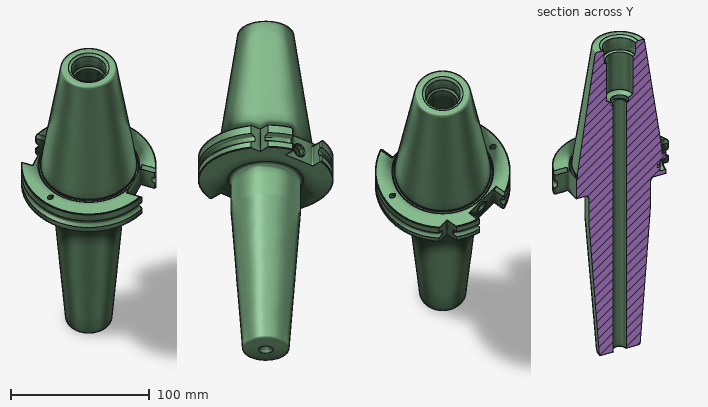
import cadquery as cq
import math

total_length = 261.5
flange_top = 159.0
flange_bottom = 140.5
neck_bottom = 114.5
cone_joint = 57.0

taper_base_radius = 35.0
taper_half_slope = 7 / 24 / 2
taper_tip_radius = taper_base_radius - taper_half_slope * (total_length - flange_top)
taper_tip_fillet = 2.0
relief_inner_radius = 34.5
relief_floor_radius = 35.8
relief_outer_radius = 36.5
relief_top = 160.0
relief_bottom = 158.3

flange_radius = 48.7
flange_edge_chamfer = 0.5
groove_floor_radius = 45.8
groove_centre = 148.9
groove_flank_angle = 30.0
groove_floor_width = 3.7
groove_floor_fillet = 1.0

neck_radius = 25.0
neck_root_arc_radius = 5.2
neck_root_height = 4.2
cone_joint_radius = 21.0
nose_radius = 16.7
nose_fillet = 1.8

bore_mouth_radius = 14.6
bore_mouth_chamfer_depth = 1.3
pilot_radius = 12.5
pilot_depth = 8.0
guide_radius = 12.3
guide_start_depth = 9.5
guide_depth = 11.5
thread_radius = 10.5
thread_start_depth = 12.3
thread_depth = 44.5
drill_radius = 6.8
drill_half_angle = 59.0
drill_depth = 49.7
through_radius = 5.2

slot_half_width = 12.8
left_slot_floor = 37.7
right_slot_floor = 35.3
slot_mouth_start = 45.8
slot_corner_fillet = 0.8
slot_top_chamfer = 2.4

notch_x = 29.5
notch_y = 29.8

pocket_radius = 4.5
pocket_mouth_radius = 5.2
pocket_depth = 4.7
pocket_centre_hole_radius = 1.0
pocket_centre_hole_depth = 2.0

face_hole_radius = 1.8
face_hole_pitch_radius = 41.9
face_hole_angle = 70.5
face_hole_tilt = 40.0
face_hole_depth = 10.5

overrun = 2.5


def revolve_profile(points):
    """Solid of revolution about Z from (radius, z) points."""
    profile = cq.Workplane("XZ").polyline(points).close()
    return profile.revolve(360, (0, 0, 0), (0, 1, 0))


def taper():
    """Spindle taper with a rounded tip, reaching down through the flange."""
    cone = revolve_profile([
        (0, flange_bottom),
        (taper_base_radius, flange_bottom),
        (taper_base_radius, flange_top),
        (taper_tip_radius, total_length),
        (0, total_length),
    ])
    return cone.faces(">Z").edges().fillet(taper_tip_fillet)


def flange():
    """Plain flange disc with chamfered rims."""
    disc = cq.Workplane("XY", origin=(0, 0, flange_bottom)).circle(flange_radius)
    return disc.extrude(flange_top - flange_bottom).edges().chamfer(flange_edge_chamfer)


def nose():
    """Conical nose and neck; a concave arc spreads the neck towards the flange."""
    arc_start_z = flange_bottom - neck_root_height
    arc_centre_radius = neck_radius + neck_root_arc_radius

    def arc_point(height):
        reach = math.sqrt(neck_root_arc_radius**2 - height**2)
        return (arc_centre_radius - reach, arc_start_z + height)

    return (
        cq.Workplane("XZ")
        .polyline([
            (0, 0),
            (nose_radius, 0),
            (cone_joint_radius, cone_joint),
            (neck_radius, neck_bottom),
            (neck_radius, arc_start_z),
        ])
        .threePointArc(arc_point(neck_root_height / 2), arc_point(neck_root_height))
        .lineTo(0, flange_bottom)
        .close()
        .revolve(360, (0, 0, 0), (0, 1, 0))
        .faces("<Z")
        .edges()
        .fillet(nose_fillet)
    )


def taper_relief():
    """Ring cutter for the relief in the corner between taper and flange face."""
    return revolve_profile([
        (relief_inner_radius, relief_bottom),
        (relief_floor_radius, relief_bottom),
        (relief_outer_radius, flange_top),
        (relief_outer_radius, relief_top),
        (relief_inner_radius, relief_top),
    ])


def gripper_groove():
    """Ring cutter with sloping flanks and a rounded floor for the flange rim."""
    outer_radius = flange_radius + overrun
    flank_slope = math.tan(math.radians(groove_flank_angle))
    floor_half_width = groove_floor_width / 2
    outer_half_width = floor_half_width + flank_slope * (outer_radius - groove_floor_radius)
    ring = revolve_profile([
        (groove_floor_radius, groove_centre - floor_half_width),
        (outer_radius, groove_centre - outer_half_width),
        (outer_radius, groove_centre + outer_half_width),
        (groove_floor_radius, groove_centre + floor_half_width),
    ])
    return ring.edges(cq.selectors.RadiusNthSelector(0)).fillet(groove_floor_fillet)


def bore():
    """Stepped pull-stud bore that narrows to a through hole."""
    drill_point = (thread_radius - drill_radius) / math.tan(math.radians(drill_half_angle))
    steps = [
        (0, 0),
        (bore_mouth_radius, 0),
        (pilot_radius, bore_mouth_chamfer_depth),
        (pilot_radius, pilot_depth),
        (guide_radius, guide_start_depth),
        (guide_radius, guide_depth),
        (thread_radius, thread_start_depth),
        (thread_radius, thread_depth),
        (drill_radius, thread_depth + drill_point),
        (drill_radius, drill_depth),
        (through_radius, drill_depth),
        (through_radius, total_length),
        (0, total_length),
    ]
    return revolve_profile([(radius, total_length - depth) for radius, depth in steps])


def drive_slot(floor_distance):
    """Cutter for the +X slot, with chamfers at the rim and along the top."""
    outer_x = flange_radius + overrun
    mouth_half_width = slot_half_width + outer_x - slot_mouth_start
    slot = (
        cq.Workplane("XY")
        .workplane(offset=flange_bottom - overrun)
        .polyline([
            (floor_distance, -slot_half_width),
            (slot_mouth_start, -slot_half_width),
            (outer_x, -mouth_half_width),
            (outer_x, mouth_half_width),
            (slot_mouth_start, slot_half_width),
            (floor_distance, slot_half_width),
        ])
        .close()
        .extrude(flange_top - flange_bottom + 2 * overrun)
        .faces("<X")
        .edges("|Z")
        .fillet(slot_corner_fillet)
    )
    top_half_width = slot_half_width + slot_top_chamfer
    top_chamfer = (
        cq.Workplane("YZ")
        .workplane(offset=floor_distance)
        .polyline([
            (-slot_half_width, flange_top - slot_top_chamfer),
            (slot_half_width, flange_top - slot_top_chamfer),
            (top_half_width, flange_top),
            (-top_half_width, flange_top),
        ])
        .close()
        .extrude(outer_x - floor_distance)
    )
    return slot.union(top_chamfer)


def orientation_notch():
    """Square-cornered cutter through the flange rim."""
    size = flange_radius
    height = flange_top - flange_bottom + 2 * overrun
    cutter = cq.Workplane("XY").box(size, size, height, centered=False)
    return cutter.translate((-notch_x - size, notch_y, flange_bottom - overrun))


def slot_pocket():
    """Round pocket in the -X slot floor with a chamfered mouth and a centre hole."""
    mouth_chamfer = pocket_mouth_radius - pocket_radius
    centre_hole_end = pocket_depth + pocket_centre_hole_depth
    profile = [
        (0, 0),
        (pocket_mouth_radius, 0),
        (pocket_radius, mouth_chamfer),
        (pocket_radius, pocket_depth),
        (pocket_centre_hole_radius, pocket_depth),
        (pocket_centre_hole_radius, centre_hole_end),
        (0, centre_hole_end),
    ]
    pocket = revolve_profile(profile).rotate((0, 0, 0), (0, 1, 0), 90)
    return pocket.translate((-left_slot_floor, 0, groove_centre))


def face_hole(side_angle):
    """Blind hole in the upper flange face, leaning inwards as it goes down."""
    length = face_hole_depth + overrun
    hole = cq.Workplane("XY", origin=(0, 0, overrun)).circle(face_hole_radius).extrude(-length)
    hole = hole.rotate((0, 0, 0), (0, 1, 0), face_hole_tilt)
    hole = hole.translate((face_hole_pitch_radius, 0, flange_top))
    return hole.rotate((0, 0, 0), (0, 0, 1), side_angle)


result = (
    flange()
    .union(taper())
    .union(nose())
    .cut(taper_relief())
    .cut(gripper_groove())
    .cut(bore())
    .cut(drive_slot(right_slot_floor))
    .cut(drive_slot(left_slot_floor).rotate((0, 0, 0), (0, 0, 1), 180))
    .cut(orientation_notch())
    .cut(slot_pocket())
    .cut(face_hole(face_hole_angle))
    .cut(face_hole(face_hole_angle + 180))
)